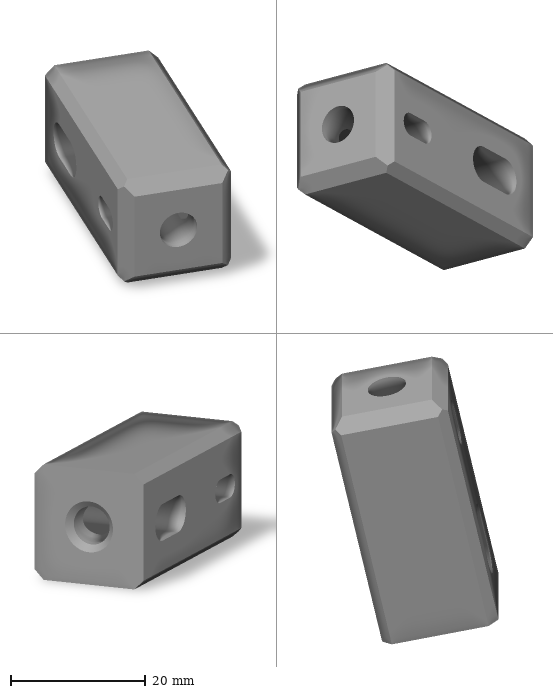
import cadquery as cq

length = 38.0
width = 17.7
long_edge_chamfer = 1.5
end_chamfer = 2.0

bore_diameter = 5.8
countersink_diameter = 7.8
countersink_angle = 90.0

large_slot_start = 4.35
large_slot_end = 15.58
large_slot_height = 5.62
small_slot_start = 26.37
small_slot_end = 33.6
small_slot_height = 3.57


def chamfered_bar():
    """Square bar with chamfered long edges and a chamfered far end."""
    square_bar = cq.Workplane("YZ").rect(width, width).extrude(length)
    bar = square_bar.edges("|X").chamfer(long_edge_chamfer)

    end_envelope = (
        cq.Workplane("YZ").rect(width, width).extrude(length)
        .faces(">X").edges().chamfer(end_chamfer)
    )
    return bar.intersect(end_envelope)


def through_slot(start, end, height):
    """Round-ended cutter spanning the full width of the bar."""
    return (
        cq.Workplane("XZ")
        .center((start + end) / 2, 0)
        .slot2D(end - start, height)
        .extrude(width / 2, both=True)
    )


result = (
    chamfered_bar()
    .faces("<X").workplane(centerOption="CenterOfBoundBox")
    .cskHole(bore_diameter, countersink_diameter, countersink_angle)
    .cut(through_slot(large_slot_start, large_slot_end, large_slot_height))
    .cut(through_slot(small_slot_start, small_slot_end, small_slot_height))
)